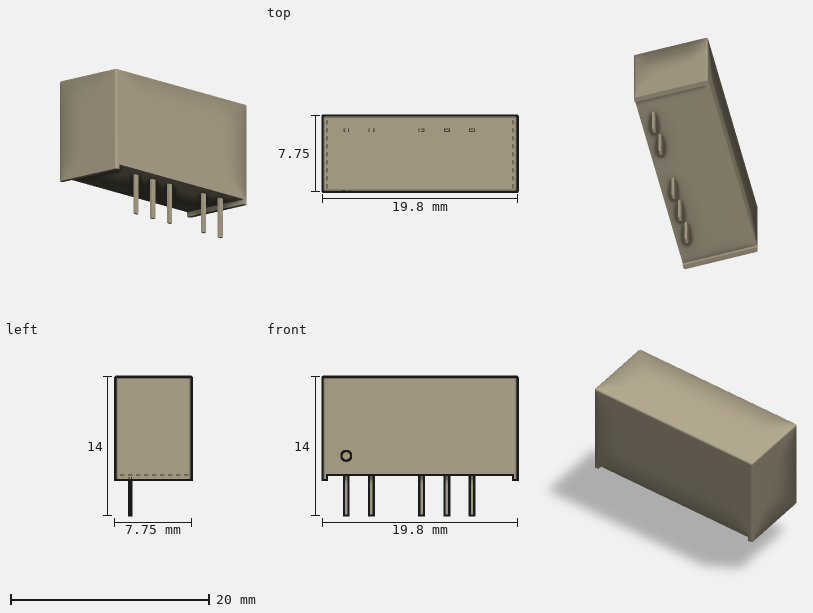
import cadquery as cq

housing_length = 19.75
housing_width = 7.75
housing_height = 10.45
edge_radius = 0.2

foot_length = 0.5
foot_height = 0.5
underside_z = foot_height

pin_pitch = 2.54
pin_positions = (0, 1, 3, 4, 5)
pin_width = 0.5
pin_thickness = 0.25
pin_length = 4.1
first_pin_inset = 2.425
pin_row_inset = 1.5
first_pin_x = -housing_length / 2 + first_pin_inset
pin_row_y = housing_width / 2 - pin_row_inset

marker_diameter = 1.0
marker_depth = 0.1
marker_height = 1.95
marker_z = underside_z + marker_height
front_face_y = -housing_width / 2


def make_marker():
    """Disc from the front face into the housing."""
    face = cq.Workplane("XZ", origin=(first_pin_x, front_face_y, marker_z))
    return face.circle(marker_diameter / 2).extrude(-marker_depth)


def make_housing(marker):
    """Rounded block with a channel between the feet and a recess for the marker."""
    block = (
        cq.Workplane("XY")
        .box(housing_length, housing_width, housing_height, centered=(True, True, False))
        .edges("|Z or >Z")
        .fillet(edge_radius)
    )
    channel = cq.Workplane("XY").box(
        housing_length - 2 * foot_length,
        housing_width,
        foot_height,
        centered=(True, True, False),
    )
    return block.cut(channel).cut(marker)


def make_pin(position):
    """Flat lead hanging from the underside at the given place on the pitch."""
    x = first_pin_x + position * pin_pitch
    underside = cq.Workplane("XY", origin=(x, pin_row_y, underside_z))
    return underside.rect(pin_width, pin_thickness).extrude(-pin_length)


marker = make_marker()
housing = make_housing(marker)
pins = [make_pin(position) for position in pin_positions]

result = cq.Compound.makeCompound(
    [housing.val(), marker.val(), *[pin.val() for pin in pins]]
)